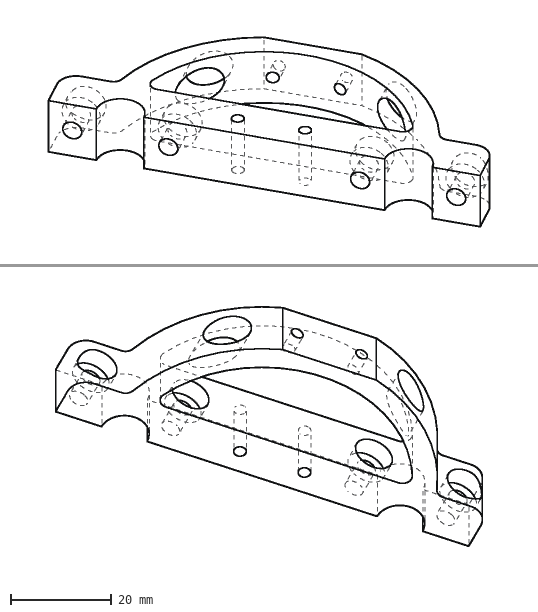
import cadquery as cq
import math

length = 90.0
depth = 33.5
thickness = 12.5
mid_height = thickness / 2

bar_depth = 10.0
corner_radius = 4.0

arch_outer_radius = 35.0
arch_inner_radius = 30.0
root_radius = 2.0

groove_spacing = 60.0
groove_diameter = 9.9

screw_spacings = (40.0, 80.0)
screw_diameter = 4.0
head_diameter = 8.0
head_depth = 4.0
seat_y = bar_depth - head_depth

small_spacing = 14.0
small_diameter = 2.5


def mirrored_points(spacing, y):
    """A pair of points placed symmetrically about the middle."""
    return [(-spacing / 2, y), (spacing / 2, y)]


def arch_disc(radius):
    """Disc of the arch, cut off at the rear edge of the bar."""
    disc = cq.Workplane("XY").circle(radius).extrude(thickness)
    keep = (
        cq.Workplane("XY")
        .rect(length, depth - bar_depth)
        .extrude(thickness)
        .translate((0, (depth + bar_depth) / 2, 0))
    )
    return disc.intersect(keep)


def holes_along_y(spacing, diameter, start_y, end_y):
    """A pair of cylinders along +Y at mid height."""
    return (
        cq.Workplane("XZ", origin=(0, start_y, 0))
        .pushPoints(mirrored_points(spacing, mid_height))
        .circle(diameter / 2)
        .extrude(start_y - end_y)
    )


def vertical_edges_at(x, y):
    """Selector for the mirrored pair of vertical edges at (+-x, y)."""
    margin = 0.1
    boxes = [
        cq.selectors.BoxSelector(
            (side * x - margin, y - margin, 0),
            (side * x + margin, y + margin, thickness),
        )
        for side in (-1, 1)
    ]
    return boxes[0] + boxes[1]


bar = cq.Workplane("XY").rect(length, bar_depth).extrude(thickness)
bar = bar.translate((0, bar_depth / 2, 0))
bar = bar.edges("|Z and >Y").fillet(corner_radius)

outer_root_x = math.sqrt(arch_outer_radius**2 - bar_depth**2)
inner_root_x = math.sqrt(arch_inner_radius**2 - bar_depth**2)
body = bar.union(arch_disc(arch_outer_radius))
body = body.edges(vertical_edges_at(outer_root_x, bar_depth)).fillet(root_radius)
window = arch_disc(arch_inner_radius)
window = window.edges(vertical_edges_at(inner_root_x, bar_depth)).fillet(root_radius)
body = body.cut(window)

grooves = (
    cq.Workplane("XY")
    .pushPoints(mirrored_points(groove_spacing, 0))
    .circle(groove_diameter / 2)
    .extrude(thickness)
)
body = body.cut(grooves)

for screw_spacing in screw_spacings:
    body = body.cut(holes_along_y(screw_spacing, screw_diameter, 0, bar_depth))
    body = body.cut(holes_along_y(screw_spacing, head_diameter, seat_y, depth))

bar_holes = (
    cq.Workplane("XY")
    .pushPoints(mirrored_points(small_spacing, bar_depth / 2))
    .circle(small_diameter / 2)
    .extrude(thickness)
)
body = body.cut(bar_holes)
body = body.cut(holes_along_y(small_spacing, small_diameter, bar_depth, depth))

result = body